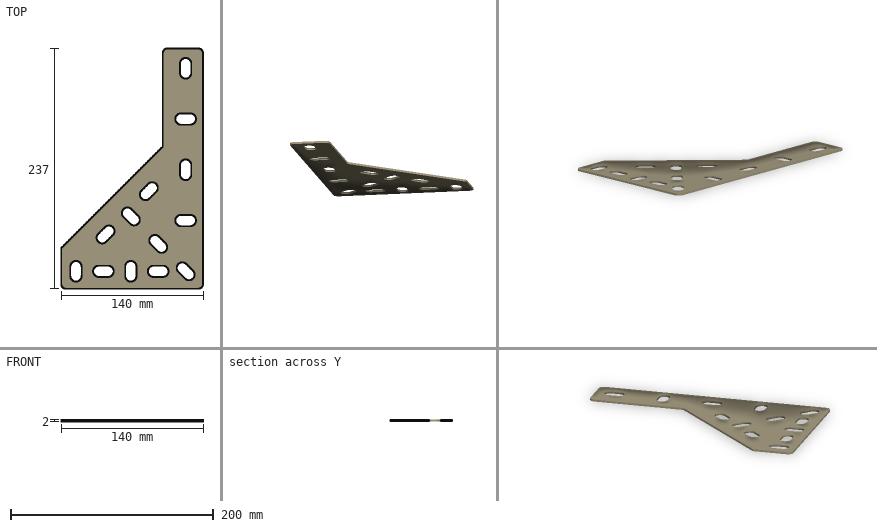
import cadquery as cq

height = 237.0
width = 140.0
thickness = 2.0
leg_width = 40.0
corner_radius = 5.0
brace_rise = width - leg_width

slot_length = 20.1
slot_width = 11.0
edge_distance = 17.3
foot_pitch = 27.0
arm_pitch = 50.0
brace_distance = 75.0
brace_half_spacing = 21.3


def make_plate():
    """Flat L-shaped plate with a 45 degree brace between the legs."""
    plate = (
        cq.Workplane("XY")
        .polyline([
            (0, 0),
            (0, height),
            (-leg_width, height),
            (-leg_width, leg_width + brace_rise),
            (-width, leg_width),
            (-width, 0),
        ])
        .close()
        .extrude(thickness)
    )
    rounded_corners = [(0, 0), (0, height), (-leg_width, height), (-width, 0)]
    for x, y in rounded_corners:
        corner_edge = cq.selectors.NearestToPointSelector((x, y, thickness / 2))
        plate = plate.edges("|Z").edges(corner_edge).fillet(corner_radius)
    return plate


def cut_slots(plate, centers, angle):
    """Cut through slots whose long axis is turned by angle from X."""
    cutter = (
        cq.Workplane("XY")
        .pushPoints(centers)
        .slot2D(slot_length, slot_width, angle)
        .extrude(thickness)
    )
    return plate.cut(cutter)


foot = [(-edge_distance - i * foot_pitch, edge_distance) for i in range(5)]
arm = [(-edge_distance, edge_distance + i * arm_pitch) for i in range(5)]
diagonal = [(-edge_distance - i * foot_pitch, edge_distance + i * foot_pitch) for i in range(3)]
brace = [
    (-brace_distance + side * brace_half_spacing, brace_distance + side * brace_half_spacing)
    for side in (-1, 1)
]

result = make_plate()
result = cut_slots(result, foot[1::2] + arm[1::2], 0)
result = cut_slots(result, foot[2::2] + arm[2::2], 90)
result = cut_slots(result, diagonal, -45)
result = cut_slots(result, brace, 45)